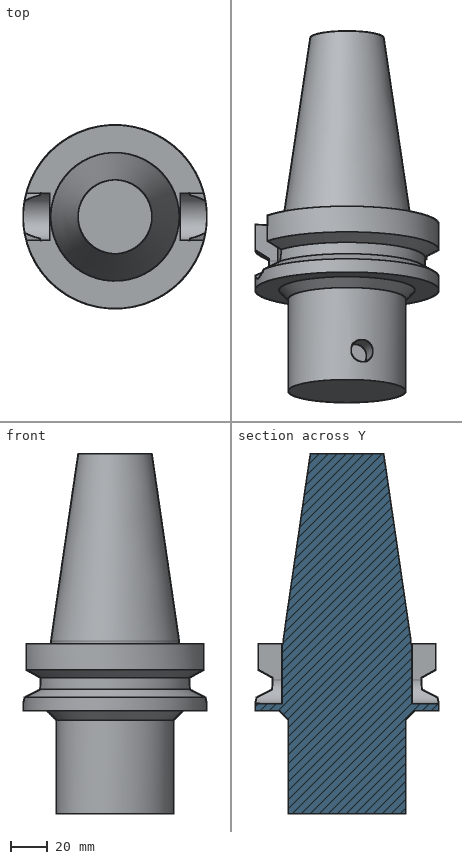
import cadquery as cq
import math

total_height = 195.8
taper_length = 101.8
gauge_z = total_height - taper_length

gauge_radius = 69.85 / 2
taper_ratio = 7 / 24
taper_tip_radius = gauge_radius - taper_length * taper_ratio / 2

flange_top_drop = 1.5
flange_bottom_drop = 38.0
groove_center_drop = 23.2
flange_radius = 100 / 2
flange_top_z = gauge_z - flange_top_drop
flange_bottom_z = gauge_z - flange_bottom_drop
groove_center_z = gauge_z - groove_center_drop
groove_radius = 85 / 2
groove_floor_width = 6.3
groove_wall_angle = 30
groove_wall_height = (flange_radius - groove_radius) * math.tan(math.radians(groove_wall_angle))
groove_floor_low_z = groove_center_z - groove_floor_width / 2
groove_floor_high_z = groove_center_z + groove_floor_width / 2
groove_mouth_low_z = groove_floor_low_z - groove_wall_height
groove_mouth_high_z = groove_floor_high_z + groove_wall_height

nose_radius = 64 / 2
nose_cone_height = 5.0
nose_top_z = flange_bottom_z - nose_cone_height
nose_cone_radius = nose_radius + nose_cone_height

slot_width = 25.7
slot_floor_x = 35.4
slot_wall_below = 4.0
slot_bottom_z = flange_bottom_z + slot_wall_below

side_hole_diameter = 12.3
side_hole_z = 16.25
side_hole_depth = 14.0


def make_body():
    """Revolve the half profile (radius, height) about the Z axis."""
    profile = [
        (0, 0),
        (nose_radius, 0),
        (nose_radius, nose_top_z),
        (nose_cone_radius, flange_bottom_z),
        (flange_radius, flange_bottom_z),
        (flange_radius, groove_mouth_low_z),
        (groove_radius, groove_floor_low_z),
        (groove_radius, groove_floor_high_z),
        (flange_radius, groove_mouth_high_z),
        (flange_radius, flange_top_z),
        (gauge_radius, flange_top_z),
        (gauge_radius, gauge_z),
        (taper_tip_radius, total_height),
        (0, total_height),
    ]
    return cq.Workplane("XZ").polyline(profile).close().revolve(360, (0, 0), (0, 1))


def make_drive_slot(side):
    """Round-bottomed slot, open at the flange top and rim; side is -1 or +1."""
    half_width = slot_width / 2
    arc_center_z = slot_bottom_z + half_width
    slot_depth = flange_radius - slot_floor_x
    return (
        cq.Workplane("YZ", origin=(side * slot_floor_x, 0, 0))
        .moveTo(-half_width, flange_top_z)
        .lineTo(-half_width, arc_center_z)
        .threePointArc((0, slot_bottom_z), (half_width, arc_center_z))
        .lineTo(half_width, flange_top_z)
        .close()
        .extrude(side * slot_depth)
    )


def make_side_hole():
    """Blind radial hole running inward from the +Y side of the nose."""
    return (
        cq.Workplane("XZ", origin=(0, nose_radius, side_hole_z))
        .circle(side_hole_diameter / 2)
        .extrude(side_hole_depth)
    )


result = make_body()
for side in (-1, 1):
    result = result.cut(make_drive_slot(side))
result = result.cut(make_side_hole())